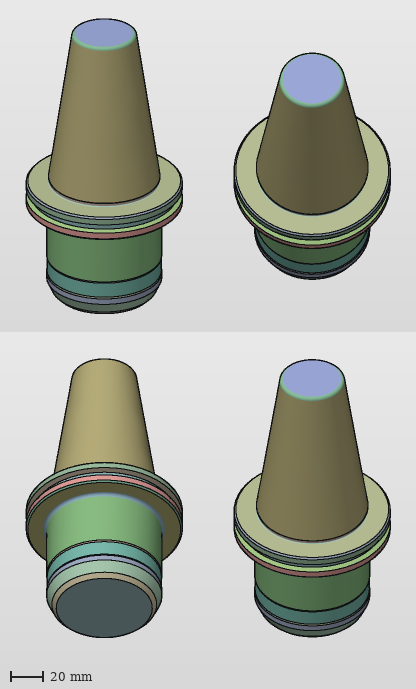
import cadquery as cq
import math

height = 182.8
gauge_z = 81.1
flange_top_z = 78.0
flange_bottom_z = 62.1

taper_ratio = 7 / 24
gauge_radius = 34.9
tip_round = 2.2
gauge_land = 0.2

neck_radius = 34.4
neck_chamfer = gauge_radius - neck_radius
neck_fillet = 0.5

flange_radius = 48.8
flange_chamfer = 1.1
groove_radius = 45.5
groove_top_z = 73.1
groove_bottom_z = 67.3
groove_wall_height = 1.1

body_radius = 36.0
body_fillet = 2.0
waist_radius = 35.6
waist_top_z = 25.8
waist_bottom_z = 13.7
waist_slope_height = 1.1

nose_top_z = 9.9
nose_edge_z = 2.7
nose_edge_radius = 32.7
bottom_radius = 30.0

taper_half_angle = math.atan(taper_ratio / 2)
tip_radius = gauge_radius - (height - gauge_z) * taper_ratio / 2
tip_setback = tip_round * math.tan(math.pi / 4 - taper_half_angle / 2)
tip_center_r = tip_radius - tip_setback
tip_center_z = height - tip_round


def tip_arc_point(angle):
    """Point on the tip round, at an angle above the horizontal."""
    return (
        tip_center_r + tip_round * math.cos(angle),
        tip_center_z + tip_round * math.sin(angle),
    )


def quarter_fillet_middle(center_r, center_z, radius, z_direction):
    """Middle of a concave quarter arc that faces the axis."""
    offset = radius * math.sqrt(0.5)
    return (center_r - offset, center_z + z_direction * offset)


tip_arc_middle = tip_arc_point((math.pi / 2 + taper_half_angle) / 2)
tip_arc_end = tip_arc_point(taper_half_angle)
neck_fillet_middle = quarter_fillet_middle(
    neck_radius + neck_fillet, flange_top_z + neck_fillet, neck_fillet, -1
)
body_fillet_middle = quarter_fillet_middle(
    body_radius + body_fillet, flange_bottom_z - body_fillet, body_fillet, 1
)

profile = cq.Workplane("XZ").moveTo(0, height)

profile = (
    profile.lineTo(tip_center_r, height)
    .threePointArc(tip_arc_middle, tip_arc_end)
    .lineTo(gauge_radius, gauge_z)
    .lineTo(gauge_radius, gauge_z - gauge_land)
)

profile = (
    profile.lineTo(neck_radius, gauge_z - gauge_land - neck_chamfer)
    .lineTo(neck_radius, flange_top_z + neck_fillet)
    .threePointArc(neck_fillet_middle, (neck_radius + neck_fillet, flange_top_z))
)

profile = (
    profile.lineTo(flange_radius - flange_chamfer, flange_top_z)
    .lineTo(flange_radius, flange_top_z - flange_chamfer)
    .lineTo(flange_radius, groove_top_z)
    .lineTo(groove_radius, groove_top_z - groove_wall_height)
    .lineTo(groove_radius, groove_bottom_z + groove_wall_height)
    .lineTo(flange_radius, groove_bottom_z)
    .lineTo(flange_radius, flange_bottom_z + flange_chamfer)
    .lineTo(flange_radius - flange_chamfer, flange_bottom_z)
)

profile = (
    profile.lineTo(body_radius + body_fillet, flange_bottom_z)
    .threePointArc(body_fillet_middle, (body_radius, flange_bottom_z - body_fillet))
    .lineTo(body_radius, waist_top_z)
    .lineTo(waist_radius, waist_top_z - waist_slope_height)
    .lineTo(waist_radius, waist_bottom_z + waist_slope_height)
    .lineTo(body_radius, waist_bottom_z)
)

profile = (
    profile.lineTo(body_radius, nose_top_z)
    .lineTo(nose_edge_radius, nose_edge_z)
    .lineTo(bottom_radius, 0)
    .lineTo(0, 0)
    .close()
)

result = profile.revolve(360, (0, 0, 0), (0, 1, 0))